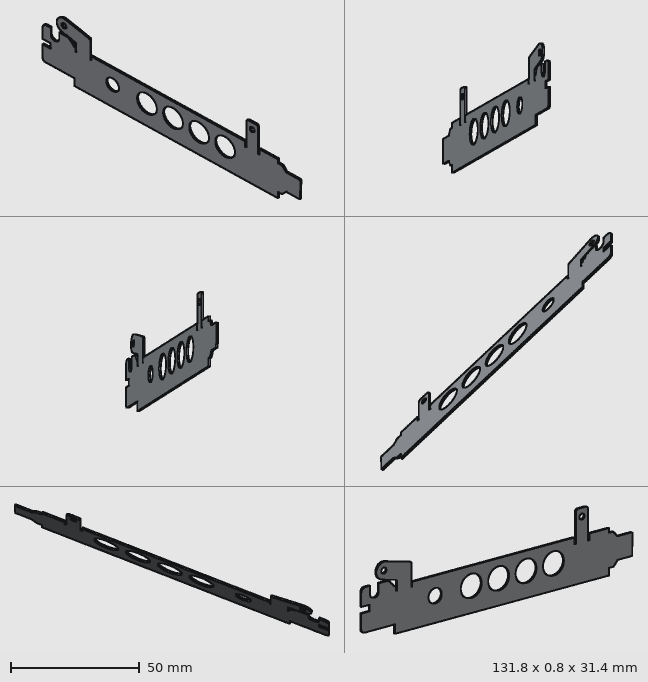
import cadquery as cq
import math

length = 131.8
thickness = 0.8
body_left = 16.3
body_right = 120.3
body_top = 19.8
relief_width = 0.4

ear_bottom = 4.0
ear_top = 22.9
ear_slope_start = 13.3
ear_top_radius = 2.0
ear_bottom_radius = 1.6
screw_slot_x = 6.3
screw_slot_width = 4.3
screw_slot_bottom = 17.4
notch_depth = 4.1
notch_bottom = 12.3
notch_top = 15.0

arm_left = 17.3
arm_right = 24.4
arm_root = 17.8
arm_angle = math.radians(14)
arm_corner_radius = 0.8
eye_x = 11.0
eye_z = 27.7
eye_radius = 3.7

tab_left = 104.2
tab_right = 110.0
tab_top = eye_z + eye_radius
tab_root = 17.0
tab_relief_width = 0.8
tab_corner_radius = 1.0
lug_hole_diameter = 2.5

shoulder_bottom = 3.2
shoulder_top = 17.8
shoulder_end = 122.4
tongue_start = 124.5
tongue_bottom = 5.5
tongue_top = 15.4
tongue_end_slant = 0.3
tongue_corner_radius = 0.7

opening_z = 11.3
small_opening_x = 35.8
small_opening_diameter = 6.5
large_opening_x = 53.4
large_opening_diameter = 10.1
large_opening_pitch = 13.3
large_opening_count = 4


def plate(points):
    """Sheet of full thickness with a polygonal outline in X and Z."""
    return cq.Workplane("XZ").polyline(points).close().extrude(-thickness)


def block(left, right, bottom, top):
    return plate([(left, bottom), (right, bottom), (right, top), (left, top)])


def disc(x, z, diameter):
    return cq.Workplane("XZ").center(x, z).circle(diameter / 2).extrude(-thickness)


def round_corner(solid, x, z, radius):
    """Round the one through-thickness edge nearest to (x, z)."""
    corner = cq.selectors.NearestToPointSelector((x, thickness / 2, z))
    return solid.edges("|Y").edges(corner).fillet(radius)


def make_ear():
    ear = plate([
        (0, ear_bottom), (body_left, ear_bottom), (body_left, body_top),
        (ear_slope_start, ear_top), (0, ear_top),
    ])
    ear = round_corner(ear, 0, ear_top, ear_top_radius)
    ear = round_corner(ear, 0, ear_bottom, ear_bottom_radius)
    slot_radius = screw_slot_width / 2
    slot_center_z = screw_slot_bottom + slot_radius
    slot = block(screw_slot_x - slot_radius, screw_slot_x + slot_radius, slot_center_z, ear_top)
    slot = slot.union(disc(screw_slot_x, slot_center_z, screw_slot_width))
    return ear.cut(slot).cut(block(0, notch_depth, notch_bottom, notch_top))


def make_tongue():
    tongue = plate([
        (body_right, shoulder_bottom), (shoulder_end, shoulder_bottom),
        (tongue_start, tongue_bottom), (length - tongue_end_slant, tongue_bottom),
        (length, tongue_top), (tongue_start, tongue_top),
        (shoulder_end, shoulder_top), (body_right, shoulder_top),
    ])
    return round_corner(tongue, length, tongue_top, tongue_corner_radius)


def make_arm():
    """Arm whose two slanted edges are tangent to the round eye at its tip."""
    offset_x = eye_radius * math.sin(arm_angle)
    offset_z = eye_radius * math.cos(arm_angle)
    upper = (eye_x + offset_x, eye_z + offset_z)
    lower = (eye_x - offset_x, eye_z - offset_z)
    tip = (eye_x - offset_z, eye_z + offset_x)
    slope = math.tan(arm_angle)
    outer_corner_z = upper[1] - slope * (arm_right - upper[0])
    inner_corner_z = lower[1] - slope * (arm_left - lower[0])
    arm = (
        cq.Workplane("XZ").moveTo(arm_left, arm_root)
        .lineTo(arm_right, arm_root).lineTo(arm_right, outer_corner_z).lineTo(*upper)
        .threePointArc(tip, lower)
        .lineTo(arm_left, inner_corner_z).close().extrude(-thickness)
    )
    arm = round_corner(arm, arm_right, outer_corner_z, arm_corner_radius)
    return round_corner(arm, arm_left, inner_corner_z, arm_corner_radius)


def make_tab():
    tab = block(tab_left, tab_right, tab_root, tab_top)
    for x in (tab_left, tab_right):
        tab = round_corner(tab, x, tab_top, tab_corner_radius)
    return tab


body = block(body_left, body_right, 0, body_top).union(make_ear()).union(make_tongue())
body = body.cut(block(arm_left - relief_width, arm_right + relief_width, arm_root, body_top))
body = body.cut(block(tab_left - tab_relief_width, tab_right + tab_relief_width, tab_root, body_top))
result = body.union(make_arm()).union(make_tab())

result = result.cut(disc(eye_x, eye_z, lug_hole_diameter))
result = result.cut(disc((tab_left + tab_right) / 2, eye_z, lug_hole_diameter))
result = result.cut(disc(small_opening_x, opening_z, small_opening_diameter))
for index in range(large_opening_count):
    x = large_opening_x + index * large_opening_pitch
    result = result.cut(disc(x, opening_z, large_opening_diameter))